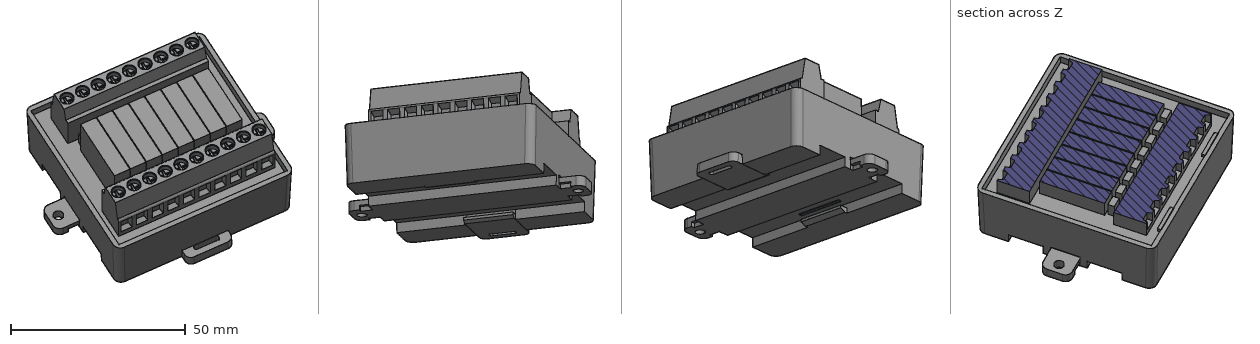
import cadquery as cq
import math

OVERALL_X = 59.51

HOUSING_X = 56.1
HOUSING_Y = 57.7
HOUSING_Z = 18.0
HOUSING_CORNER_R = 2.4
HOUSING_DRAFT = 1.5
RIM = 1.5
BOARD_TOP_Z = 16.0
BOARD_T = 1.6
POCKET_WALL_RUN = 0.3

FOOT_Z = 3.0
RAIL_HALF = 17.8
TONGUE_HALF = 6.9
HOOK_REACH = 2.75
HOOK_TOP_Z = 1.6
HOOK_NOSE_Z = 0.8
HOOK_BEVEL = 1.9
RAIL_STOP_X = -14.65
RAIL_STOP_W = 1.1
RAIL_STOP_DROP = 0.25

EAR_W = 9.2
EAR_TIP_Y = 35.8
EAR_CORNER_R = 2.2
EAR_HOLE_D = 3.0
EAR_HOLE_Y = 32.75
EAR_RELIEF_Y = 32.0
EAR_RELIEF_Z = 1.4
EAR_RELIEF_W = 1.2
EAR_BEVEL = 0.75

SNAP_LENGTH = 9.0
SNAP_Y = 15.5
SNAP_REACH = 1.45
SNAP_T = 1.0

CLIP_W = 15.0
CLIP_TIP_X = OVERALL_X - HOUSING_X / 2
CLIP_TIP_LEAN = 0.25
CLIP_CORNER_R = 2.0
CLIP_HOOK_REACH = 2.0
CLIP_HOOK_BEVEL = 1.0
CLIP_SLOT_X = 28.5
CLIP_SLOT_W = 1.6
CLIP_SLOT_LENGTH = 8.0

PITCH = 5.08
BLOCK_TOP_Z = 30.25
BLOCK_DEPTH = 10.25
BLOCK_STEP_Z = 26.1
BLOCK_STEP = 1.25
BLOCK_TOP_START = 2.3
BLOCK_TOP_END = 8.25
BLOCK_LEDGE_Z = 23.65
BLOCK_LEDGE = 0.75
BLOCK_LEDGE_R = 1.0
SCREW_OFFSET = (BLOCK_TOP_START + BLOCK_TOP_END) / 2
SCREW_MOUTH_D = 4.1
SCREW_WELL_DEPTH = 1.8
SCREW_WELL_CHAMFER = 0.2
SCREW_SLOT_W = 0.65
SCREW_SLOT_DEPTH = 0.5
WIRE_MOUTH_W = 3.6
WIRE_MOUTH_Z = (17.8, 22.8)
WIRE_THROAT_W = 2.7
WIRE_THROAT_Z = (18.45, 21.5)
WIRE_DEPTH = 1.5
LEFT_BLOCK_X = -12.7
RIGHT_BLOCK_X = 12.5
LEFT_POLES = 9
RIGHT_POLES = 10

RELAY_COUNT = 8
RELAY_PITCH = 5.21
RELAY_GAP = 0.2
RELAY_LEFT_X = -8.95
RELAY_LENGTH = 20.45
RELAY_TOP_Z = 28.85
LAMP_X = -10.6
LAMP_SIZE = (2.05, 3.45)
LAMP_TOP_Z = 20.2


def box(x_range, y_range, z_range):
    """Block between the given limits."""
    sizes = [high - low for low, high in (x_range, y_range, z_range)]
    corner = (x_range[0], y_range[0], z_range[0])
    return cq.Workplane("XY").box(*sizes, centered=False).translate(corner)


def rows(count, pitch):
    """Y positions of evenly spaced items, centred on the part."""
    return [(i - (count - 1) / 2) * pitch for i in range(count)]


POCKET_X = HOUSING_X - 2 * RIM
POCKET_Y = HOUSING_Y - 2 * RIM
BOARD_X = POCKET_X - 2 * POCKET_WALL_RUN
BOARD_Y = POCKET_Y - 2 * POCKET_WALL_RUN
BOARD_BOTTOM_Z = BOARD_TOP_Z - BOARD_T


def housing_shell():
    """Drafted block with the open pocket above the board and the seat for the board."""
    shell = (
        cq.Workplane("XY", origin=(0, 0, HOUSING_Z))
        .rect(HOUSING_X, HOUSING_Y)
        .extrude(-HOUSING_Z, taper=HOUSING_DRAFT)
        .edges("not(|X or |Y)")
        .fillet(HOUSING_CORNER_R)
    )
    rim_depth = HOUSING_Z - BOARD_TOP_Z
    lean = math.degrees(math.atan(POCKET_WALL_RUN / rim_depth))
    opening = (
        cq.Workplane("XY", origin=(0, 0, HOUSING_Z))
        .rect(POCKET_X, POCKET_Y)
        .extrude(-rim_depth, taper=lean)
    )
    return shell.cut(opening).cut(board_plate())


def board_plate():
    return box(
        (-BOARD_X / 2, BOARD_X / 2),
        (-BOARD_Y / 2, BOARD_Y / 2),
        (BOARD_BOTTOM_Z, BOARD_TOP_Z),
    )


def rail_channels():
    """Grooves either side of the central tongue, open at both ends."""
    full_y = (-HOUSING_Y, HOUSING_Y)
    left = box((-RAIL_HALF, -TONGUE_HALF), full_y, (0, FOOT_Z))
    return left.union(left.mirror("YZ"))


def hook_points(root_x, direction, reach, bevel):
    """XZ outline of a rail hook that grows from root_x, bevelled underneath."""
    tip_x = root_x + direction * reach
    return [
        (root_x, 0),
        (root_x, HOOK_TOP_Z),
        (tip_x, HOOK_TOP_Z),
        (tip_x, HOOK_NOSE_Z),
        (tip_x - direction * bevel, 0),
    ]


def fixed_hook():
    points = hook_points(-RAIL_HALF, 1, HOOK_REACH, HOOK_BEVEL)
    return cq.Workplane("XZ").polyline(points).close().extrude(CLIP_W / 2, both=True)


def rail_stop():
    half = RAIL_STOP_W / 2
    return box(
        (RAIL_STOP_X - half, RAIL_STOP_X + half),
        (-CLIP_W / 2, CLIP_W / 2),
        (FOOT_Z - RAIL_STOP_DROP, FOOT_Z),
    )


WALL_Y_AT_EAR = HOUSING_Y / 2 - (HOUSING_Z - FOOT_Z) * math.tan(math.radians(HOUSING_DRAFT))


def ear():
    """Screw ear on the +Y side, with reliefs under both flanks."""
    root_y = WALL_Y_AT_EAR - EAR_BEVEL
    plate = (
        box((-EAR_W / 2, EAR_W / 2), (root_y, EAR_TIP_Y), (0, FOOT_Z))
        .edges("|Z and >Y").fillet(EAR_CORNER_R)
    )
    hole = cq.Workplane("XY").center(0, EAR_HOLE_Y).circle(EAR_HOLE_D / 2).extrude(FOOT_Z)
    relief = box(
        (EAR_W / 2 - EAR_RELIEF_W, EAR_W / 2), (WALL_Y_AT_EAR, EAR_RELIEF_Y), (0, EAR_RELIEF_Z)
    )
    return plate.cut(hole).cut(relief).cut(relief.mirror("YZ"))


def ear_bevel():
    """Sloped relief in the housing wall just above the ear on the +Y side."""
    inner_y = WALL_Y_AT_EAR - EAR_BEVEL
    outer_y = WALL_Y_AT_EAR + EAR_BEVEL
    run = outer_y - inner_y
    points = [(inner_y, FOOT_Z), (outer_y, FOOT_Z), (outer_y, FOOT_Z + run)]
    return cq.Workplane("YZ").polyline(points).close().extrude(EAR_W / 2, both=True)


def board_snap(y):
    wall_x = -HOUSING_X / 2 + RIM / 2
    return box(
        (wall_x, -POCKET_X / 2 + SNAP_REACH),
        (y - SNAP_LENGTH / 2, y + SNAP_LENGTH / 2),
        (BOARD_TOP_Z, BOARD_TOP_Z + SNAP_T),
    )


def clip_guide():
    """Groove in the underside that the clip slides in."""
    return box((RAIL_HALF, HOUSING_X), (-CLIP_W / 2, CLIP_W / 2), (0, FOOT_Z))


housing = housing_shell().cut(rail_channels()).cut(clip_guide())
housing = housing.union(fixed_hook()).union(rail_stop())
housing = housing.cut(ear_bevel()).cut(ear_bevel().mirror("XZ"))
housing = housing.union(ear()).union(ear().mirror("XZ"))
for snap_y in (-SNAP_Y, SNAP_Y):
    housing = housing.union(board_snap(snap_y))


def clip_body():
    hook = hook_points(RAIL_HALF, -1, CLIP_HOOK_REACH, CLIP_HOOK_BEVEL)
    outline = hook[1:] + [
        (CLIP_TIP_X, 0),
        (CLIP_TIP_X - CLIP_TIP_LEAN, FOOT_Z),
        (RAIL_HALF, FOOT_Z),
    ]
    body = cq.Workplane("XZ").polyline(outline).close().extrude(CLIP_W / 2, both=True)
    body = body.faces(">X").edges(">Y or <Y").fillet(CLIP_CORNER_R)
    slot = (
        cq.Workplane("XY").center(CLIP_SLOT_X, 0)
        .rect(CLIP_SLOT_W, CLIP_SLOT_LENGTH).extrude(FOOT_Z)
        .edges("|Z").fillet(CLIP_SLOT_W / 3)
    )
    return body.cut(slot)


clip = clip_body()


def wire_mouth(y):
    """Funnel that narrows from the wire face at +X inwards."""
    mouth_h = WIRE_MOUTH_Z[1] - WIRE_MOUTH_Z[0]
    throat_h = WIRE_THROAT_Z[1] - WIRE_THROAT_Z[0]
    throat_shift = (sum(WIRE_THROAT_Z) - sum(WIRE_MOUTH_Z)) / 2
    return (
        cq.Workplane("YZ", origin=(BLOCK_DEPTH, y, sum(WIRE_MOUTH_Z) / 2))
        .rect(WIRE_MOUTH_W, mouth_h)
        .workplane(offset=-WIRE_DEPTH).center(0, throat_shift)
        .rect(WIRE_THROAT_W, throat_h)
        .loft(ruled=True)
    )


def screw_well(y):
    """Chamfered round well down to the screw head, with the cross slot of the head."""
    floor_z = BLOCK_TOP_Z - SCREW_WELL_DEPTH
    well_d = SCREW_MOUTH_D - 2 * SCREW_WELL_CHAMFER
    well = (
        cq.Workplane("XY", origin=(SCREW_OFFSET, y, floor_z))
        .circle(well_d / 2).extrude(SCREW_WELL_DEPTH)
    )
    mouth = (
        cq.Workplane("XY", origin=(SCREW_OFFSET, y, BLOCK_TOP_Z))
        .circle(SCREW_MOUTH_D / 2).extrude(-SCREW_WELL_CHAMFER, taper=45)
    )
    cross = cq.Workplane("XY", origin=(SCREW_OFFSET, y, floor_z))
    slot_length = well_d - SCREW_SLOT_W / 2
    slot_x = cross.rect(slot_length, SCREW_SLOT_W).extrude(-SCREW_SLOT_DEPTH)
    slot_y = cross.rect(SCREW_SLOT_W, slot_length).extrude(-SCREW_SLOT_DEPTH)
    return well.union(mouth).union(slot_x).union(slot_y)


def terminal_block(poles):
    """Block with its inner face at X = 0 and its wire face towards +X."""
    block = (
        cq.Workplane("XZ")
        .moveTo(0, BOARD_TOP_Z)
        .lineTo(0, BLOCK_STEP_Z)
        .lineTo(BLOCK_STEP, BLOCK_STEP_Z)
        .lineTo(BLOCK_TOP_START, BLOCK_TOP_Z)
        .lineTo(BLOCK_TOP_END, BLOCK_TOP_Z)
        .lineTo(BLOCK_DEPTH - BLOCK_LEDGE, BLOCK_LEDGE_Z)
        .radiusArc((BLOCK_DEPTH, BLOCK_LEDGE_Z - BLOCK_LEDGE), BLOCK_LEDGE_R)
        .lineTo(BLOCK_DEPTH, BOARD_TOP_Z)
        .close()
        .extrude(poles * PITCH / 2, both=True)
    )
    for y in rows(poles, PITCH):
        block = block.cut(wire_mouth(y)).cut(screw_well(y))
    return block


def relay(y):
    half = (RELAY_PITCH - RELAY_GAP) / 2
    return box(
        (RELAY_LEFT_X, RELAY_LEFT_X + RELAY_LENGTH), (y - half, y + half), (BOARD_TOP_Z, RELAY_TOP_Z)
    )


def lamp(y):
    half_x, half_y = (size / 2 for size in LAMP_SIZE)
    return box(
        (LAMP_X - half_x, LAMP_X + half_x), (y - half_y, y + half_y), (BOARD_TOP_Z, LAMP_TOP_Z)
    )


left_block = terminal_block(LEFT_POLES).mirror("YZ").translate((LEFT_BLOCK_X, 0, 0))
right_block = terminal_block(RIGHT_POLES).translate((RIGHT_BLOCK_X, 0, 0))
board = board_plate().union(left_block).union(right_block)
for row_y in rows(RELAY_COUNT, RELAY_PITCH):
    board = board.union(relay(row_y)).union(lamp(row_y))

result = cq.Compound.makeCompound([
    housing.solids().val(),
    board.solids().val(),
    clip.solids().val(),
])